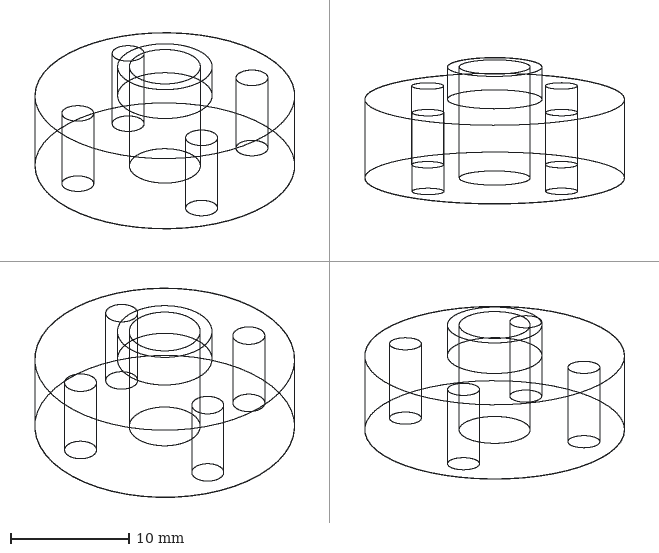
import cadquery as cq

flange_diameter = 22.0
flange_height = 6.8
hub_diameter = 8.0
total_height = 9.6
bore_diameter = 6.0
bolt_hole_diameter = 2.7
bolt_circle_diameter = 16.0
bolt_hole_count = 4

flange = cq.Workplane("XY").circle(flange_diameter / 2).extrude(flange_height)

hub = cq.Workplane("XY").circle(hub_diameter / 2).extrude(total_height)

bore = cq.Workplane("XY").circle(bore_diameter / 2).extrude(total_height)

bolt_holes = (
    cq.Workplane("XY")
    .polarArray(bolt_circle_diameter / 2, 0, 360, bolt_hole_count)
    .circle(bolt_hole_diameter / 2)
    .extrude(flange_height)
)

result = flange.union(hub).cut(bore).cut(bolt_holes)